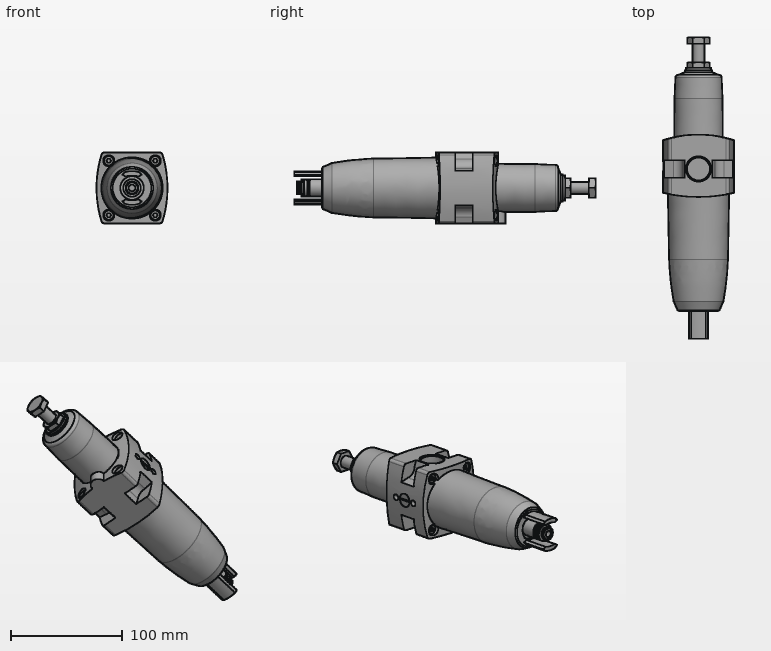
import cadquery as cq
import math

OVERALL_LENGTH = 270.6
BACK_END_Y = OVERALL_LENGTH / 2
FRONT_END_Y = -OVERALL_LENGTH / 2

HOUSING_SIZE = 64.0
HALF_SIZE = HOUSING_SIZE / 2
SIDE_BULGE = 5.1
CORNER_RADIUS = 3.2
HOUSING_BACK_Y = 48.0
BACK_BULGE = 5.1
HOUSING_FRONT_Y = -8.0
FRONT_BULGE = 3.8
BONNET_SEAT_Y = 44.7
BOWL_SEAT_Y = -4.0

PORT_Y = 17.0
PORT_DIAMETER = 20.5
PORT_MOUTH_DIAMETER = 22.7
PORT_DEPTH = 21.7

NOTCH_WIDTH = 15.7
NOTCH_TOP_X = 12.2
NOTCH_SIDE_Z = 15.2
NOTCH_ARC_RADIUS = 8.0
NOTCH_ARC_CENTER_X = 22.5
NOTCH_ARC_CENTER_Z = 26.0

SCREW_X = 20.8
SCREW_Z = 24.4
SCREW_RECESS_DIAMETER = 10.0
SCREW_HEAD_DIAMETER = 8.5
SCREW_FACE_Y = -4.3
SCREW_GAP_DEPTH = 2.7
SOCKET_CORNER_DIAMETER = 4.0
SOCKET_DEPTH = 2.2
BACK_RECESS_Y = 43.3

PLUG_Y = 19.5
PLUG_DIAMETER = 12.5
PLUG_FACE_DEPTH = 0.3
PLUG_SLOT_LENGTH = 10.8
PLUG_SLOT_WIDTH = 0.8
PLUG_SLOT_DEPTH = 1.4
SIDE_HOLE_DIAMETER = 5.7
SIDE_HOLE_SPACING = 11.0
SIDE_HOLE_DEPTH = 2.7

BOSS_RADIUS = 6.8
BOSS_Y = 47.5
BOSS_TOP_Z = -20.3

BONNET_BASE_RADIUS = 22.0
BONNET_MID_RADIUS = 21.7
BONNET_MID_Y = 80.5
BONNET_SHOULDER_RADIUS = 20.8
BONNET_SHOULDER_Y = 99.0
BONNET_CONE_RADIUS = 17.9
BONNET_CONE_Y = 101.5
LARGE_COLLAR_RADIUS = 12.2
LARGE_COLLAR_Y = 104.0
SMALL_COLLAR_RADIUS = 11.5
SMALL_COLLAR_Y = 105.5
NUT_SEAT_Y = 107.7

ROD_DIAMETER = 11.0
ROD_END_Y = 81.2
HEX_CORNER_DIAMETER = 20.3
HEAD_THICKNESS = 6.2
NUT_THICKNESS = 5.1
HEX_CHAMFER_DIAMETER = 17.3
HEX_CHAMFER_HEIGHT = 0.8

BOWL_BASE_RADIUS = 27.5
BOWL_MID_RADIUS = 26.5
BOWL_MID_Y = -64.1
BOWL_TAPER_RADIUS = 25.2
BOWL_TAPER_Y = -82.5
BOWL_SHOULDER_RADIUS = 22.5
BOWL_SHOULDER_Y = -101.5
BOWL_RIM_RADIUS = 19.0
BOWL_RIM_Y = -109.5
BOWL_FACE_RADIUS = 17.3
BOWL_FACE_Y = -110.5
BOWL_RECESS_DIAMETER = 21.0
BOWL_RECESS_DEPTH = 2.7

LEG_HALF_WIDTH = 8.7
LEG_SIDE_Z = 12.0
LEG_CROWN_Z = 15.2
LEG_CROWN_EDGE_Z = 14.0
LEG_CROWN_HALF_WIDTH = 6.5
LEG_HOLLOW_Z = 11.0
LEG_HOLLOW_EDGE_Z = 10.3
LEG_HOLLOW_HALF_WIDTH = 5.7

STEM_DIAMETER = 15.7
STEM_GROOVE_DIAMETER = 13.3
STEM_THREAD_END_Y = -128.8
STEM_GROOVES = [-122.0, -123.7, -127.0]
STEM_GROOVE_WIDTH = 0.8
TIP_DIAMETER = 11.6
TIP_NECK_DIAMETER = 10.0
TIP_RIDGE_Y = -130.2
TIP_RIDGE_WIDTH = 0.8
TIP_GROOVE_WIDTH = 1.0
TIP_END_Y = -133.0
DRAIN_BORE_DIAMETER = 6.0
DRAIN_BORE_DEPTH = 8.0


def rod(diameter, y_start, y_end, x=0.0, z=0.0):
    """Round rod parallel to Y."""
    axis = cq.Vector(0, y_end - y_start, 0)
    return cq.Workplane(cq.Solid.makeCylinder(diameter / 2, axis.Length, cq.Vector(x, y_start, z), axis))


def hexagon(corner_diameter, y_start, y_end, x=0.0, z=0.0):
    """Hexagonal prism parallel to Y with two corners on the X direction."""
    section = cq.Workplane("XZ", origin=(x, y_start, z)).polygon(6, corner_diameter)
    return section.extrude(y_start - y_end)


def chamfered_hexagon(y_start, y_end):
    """Bolt hexagon whose back corners are turned off by a cone."""
    corner = HEX_CORNER_DIAMETER / 2
    envelope = (
        cq.Workplane("XY")
        .moveTo(0, y_start)
        .lineTo(corner, y_start)
        .lineTo(corner, y_end - HEX_CHAMFER_HEIGHT)
        .lineTo(HEX_CHAMFER_DIAMETER / 2, y_end)
        .lineTo(0, y_end)
        .close()
        .revolve(360, (0, 0), (0, 1))
    )
    return hexagon(HEX_CORNER_DIAMETER, y_start, y_end).intersect(envelope)


def housing_block():
    corner_x = HALF_SIZE - SIDE_BULGE
    across = (
        cq.Workplane("XZ", origin=(0, BACK_END_Y, 0))
        .moveTo(-corner_x, HALF_SIZE)
        .lineTo(corner_x, HALF_SIZE)
        .threePointArc((HALF_SIZE, 0), (corner_x, -HALF_SIZE))
        .lineTo(-corner_x, -HALF_SIZE)
        .threePointArc((-HALF_SIZE, 0), (-corner_x, HALF_SIZE))
        .close()
        .extrude(OVERALL_LENGTH)
        .edges("|Y")
        .fillet(CORNER_RADIUS)
    )
    back_corner_y = HOUSING_BACK_Y - BACK_BULGE
    front_corner_y = HOUSING_FRONT_Y + FRONT_BULGE
    lengthwise = (
        cq.Workplane("XY")
        .moveTo(-HALF_SIZE, front_corner_y)
        .threePointArc((0, HOUSING_FRONT_Y), (HALF_SIZE, front_corner_y))
        .lineTo(HALF_SIZE, back_corner_y)
        .threePointArc((0, HOUSING_BACK_Y), (-HALF_SIZE, back_corner_y))
        .close()
        .extrude(HALF_SIZE, both=True)
    )
    return across.intersect(lengthwise)


def notch():
    """Cutter for the clamp notch at the +X +Z edge."""
    arc_inset = NOTCH_ARC_RADIUS * math.sqrt(0.5)
    arc_start = (NOTCH_ARC_CENTER_X - NOTCH_ARC_RADIUS, NOTCH_ARC_CENTER_Z)
    arc_middle = (NOTCH_ARC_CENTER_X - arc_inset, NOTCH_ARC_CENTER_Z - arc_inset)
    arc_end = (NOTCH_ARC_CENTER_X, NOTCH_ARC_CENTER_Z - NOTCH_ARC_RADIUS)
    return (
        cq.Workplane("XZ", origin=(0, PORT_Y + NOTCH_WIDTH / 2, 0))
        .moveTo(NOTCH_TOP_X, HALF_SIZE)
        .lineTo(*arc_start)
        .threePointArc(arc_middle, arc_end)
        .lineTo(HALF_SIZE, NOTCH_SIDE_Z)
        .lineTo(HALF_SIZE, HALF_SIZE)
        .close()
        .extrude(NOTCH_WIDTH)
    )


def top_port():
    mouth_chamfer = (PORT_MOUTH_DIAMETER - PORT_DIAMETER) / 2
    mouth_radius = PORT_MOUTH_DIAMETER / 2
    center = cq.Vector(0, PORT_Y, HALF_SIZE)
    down = cq.Vector(0, 0, -1)
    bore = cq.Solid.makeCylinder(PORT_DIAMETER / 2, PORT_DEPTH, center, down)
    mouth = cq.Solid.makeCone(mouth_radius, PORT_DIAMETER / 2, mouth_chamfer, center, down)
    return cq.Workplane(bore).union(cq.Workplane(mouth))


def front_screw_cut(x, z):
    """Counterbore that leaves a socket screw head standing on its floor."""
    gap_floor_y = SCREW_FACE_Y + SCREW_GAP_DEPTH
    counterbore = rod(SCREW_RECESS_DIAMETER, HOUSING_FRONT_Y, gap_floor_y, x, z)
    head = rod(SCREW_HEAD_DIAMETER, SCREW_FACE_Y, gap_floor_y, x, z)
    socket = hexagon(SOCKET_CORNER_DIAMETER, SCREW_FACE_Y, SCREW_FACE_Y + SOCKET_DEPTH, x, z)
    return counterbore.cut(head).union(socket)


def side_cuts():
    """Plug face with its slot, and a conical hole on each side of it."""
    side = cq.Workplane("YZ", origin=(-HALF_SIZE, PLUG_Y, 0))
    face = side.circle(PLUG_DIAMETER / 2).extrude(PLUG_FACE_DEPTH)
    slot = side.rect(PLUG_SLOT_LENGTH, PLUG_SLOT_WIDTH).extrude(PLUG_SLOT_DEPTH)
    cuts = face.union(slot)
    for y in (PLUG_Y - SIDE_HOLE_SPACING, PLUG_Y + SIDE_HOLE_SPACING):
        mouth = cq.Vector(-HALF_SIZE, y, 0)
        point = cq.Solid.makeCone(SIDE_HOLE_DIAMETER / 2, 0, SIDE_HOLE_DEPTH, mouth, cq.Vector(1, 0, 0))
        cuts = cuts.union(cq.Workplane(point))
    return cuts


def make_housing():
    body = housing_block()
    boss_height = BOSS_TOP_Z + HALF_SIZE
    boss = cq.Workplane("XY", origin=(0, BOSS_Y, -HALF_SIZE)).circle(BOSS_RADIUS).extrude(boss_height)
    body = body.union(boss).cut(bonnet_outside()).cut(bowl_outside())
    upper_notches = notch().union(notch().mirror("YZ"))
    body = body.cut(upper_notches).cut(upper_notches.mirror("XY"))
    body = body.cut(top_port()).cut(side_cuts())
    for x in (-SCREW_X, SCREW_X):
        for z in (-SCREW_Z, SCREW_Z):
            body = body.cut(front_screw_cut(x, z))
            body = body.cut(rod(SCREW_RECESS_DIAMETER, BACK_RECESS_Y, HOUSING_BACK_Y, x, z))
    return body


def bonnet_outside():
    rounding = BONNET_SHOULDER_RADIUS - BONNET_CONE_RADIUS
    height = BONNET_CONE_Y - BONNET_SHOULDER_Y
    round_middle = (
        BONNET_CONE_RADIUS + rounding * math.sqrt(0.5),
        BONNET_SHOULDER_Y + height * math.sqrt(0.5),
    )
    return (
        cq.Workplane("XY")
        .moveTo(0, BONNET_SEAT_Y)
        .lineTo(BONNET_BASE_RADIUS, BONNET_SEAT_Y)
        .lineTo(BONNET_MID_RADIUS, BONNET_MID_Y)
        .lineTo(BONNET_SHOULDER_RADIUS, BONNET_SHOULDER_Y)
        .threePointArc(round_middle, (BONNET_CONE_RADIUS, BONNET_CONE_Y))
        .lineTo(LARGE_COLLAR_RADIUS, LARGE_COLLAR_Y)
        .lineTo(LARGE_COLLAR_RADIUS, SMALL_COLLAR_Y)
        .lineTo(SMALL_COLLAR_RADIUS, SMALL_COLLAR_Y)
        .lineTo(SMALL_COLLAR_RADIUS, NUT_SEAT_Y)
        .lineTo(0, NUT_SEAT_Y)
        .close()
        .revolve(360, (0, 0), (0, 1))
    )


def make_bonnet():
    return bonnet_outside().cut(rod(ROD_DIAMETER, ROD_END_Y, NUT_SEAT_Y))


def make_adjusting_bolt():
    head_front_y = BACK_END_Y - HEAD_THICKNESS
    head = chamfered_hexagon(head_front_y, BACK_END_Y)
    return head.union(rod(ROD_DIAMETER, ROD_END_Y, head_front_y))


def make_lock_nut():
    nut_back_y = NUT_SEAT_Y + NUT_THICKNESS
    return chamfered_hexagon(NUT_SEAT_Y, nut_back_y).cut(rod(ROD_DIAMETER, NUT_SEAT_Y, nut_back_y))


def bowl_outside():
    return (
        cq.Workplane("XY")
        .moveTo(0, BOWL_SEAT_Y)
        .lineTo(BOWL_BASE_RADIUS, BOWL_SEAT_Y)
        .lineTo(BOWL_MID_RADIUS, BOWL_MID_Y)
        .threePointArc((BOWL_TAPER_RADIUS, BOWL_TAPER_Y), (BOWL_SHOULDER_RADIUS, BOWL_SHOULDER_Y))
        .lineTo(BOWL_RIM_RADIUS, BOWL_RIM_Y)
        .lineTo(BOWL_FACE_RADIUS, BOWL_FACE_Y)
        .lineTo(0, BOWL_FACE_Y)
        .close()
        .revolve(360, (0, 0), (0, 1))
    )


def upper_leg():
    """Guard leg above the drain stem: crowned outside, hollow towards the stem."""
    return (
        cq.Workplane("XZ", origin=(0, BOWL_FACE_Y, 0))
        .moveTo(-LEG_CROWN_HALF_WIDTH, LEG_CROWN_EDGE_Z)
        .threePointArc((0, LEG_CROWN_Z), (LEG_CROWN_HALF_WIDTH, LEG_CROWN_EDGE_Z))
        .lineTo(LEG_HALF_WIDTH, LEG_SIDE_Z)
        .lineTo(LEG_HOLLOW_HALF_WIDTH, LEG_HOLLOW_EDGE_Z)
        .threePointArc((0, LEG_HOLLOW_Z), (-LEG_HOLLOW_HALF_WIDTH, LEG_HOLLOW_EDGE_Z))
        .lineTo(-LEG_HALF_WIDTH, LEG_SIDE_Z)
        .close()
        .extrude(BOWL_FACE_Y - FRONT_END_Y)
    )


def drain_stem():
    recess_floor_y = BOWL_FACE_Y + BOWL_RECESS_DEPTH
    stem = rod(STEM_DIAMETER, STEM_THREAD_END_Y, recess_floor_y)
    for groove_y in STEM_GROOVES:
        ring = rod(STEM_DIAMETER, groove_y, groove_y + STEM_GROOVE_WIDTH)
        stem = stem.cut(ring.cut(rod(STEM_GROOVE_DIAMETER, groove_y, groove_y + STEM_GROOVE_WIDTH)))
    second_ridge_y = TIP_RIDGE_Y - TIP_RIDGE_WIDTH - TIP_GROOVE_WIDTH
    stem = stem.union(rod(TIP_NECK_DIAMETER, TIP_END_Y, STEM_THREAD_END_Y))
    stem = stem.union(rod(TIP_DIAMETER, TIP_RIDGE_Y - TIP_RIDGE_WIDTH, TIP_RIDGE_Y))
    stem = stem.union(rod(TIP_DIAMETER, TIP_END_Y, second_ridge_y))
    return stem.cut(rod(DRAIN_BORE_DIAMETER, TIP_END_Y, TIP_END_Y + DRAIN_BORE_DEPTH))


def make_bowl():
    recess = rod(BOWL_RECESS_DIAMETER, BOWL_FACE_Y, BOWL_FACE_Y + BOWL_RECESS_DEPTH)
    body = bowl_outside().cut(recess)
    return body.union(upper_leg()).union(upper_leg().mirror("XY")).union(drain_stem())


housing = make_housing()
bonnet = make_bonnet()
bowl = make_bowl()
adjusting_bolt = make_adjusting_bolt()
lock_nut = make_lock_nut()

result = cq.Compound.makeCompound(
    [housing.val(), bonnet.val(), bowl.val(), adjusting_bolt.val(), lock_nut.val()]
)